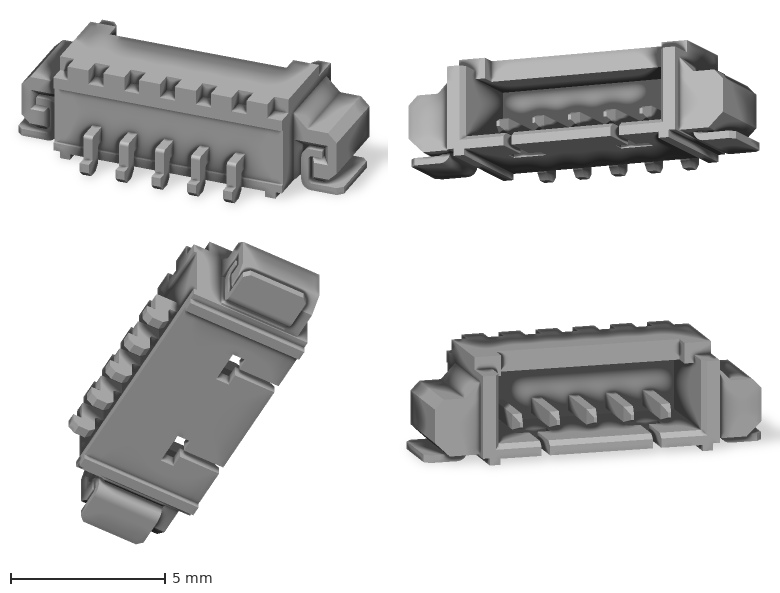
import cadquery as cq


HALF_LENGTH = 5.7
HEIGHT = 3.4
PITCH = 1.25
PIN_COUNT = 5

BODY_HALF = 4.0
BODY_DEPTH = 4.2
BODY_BOTTOM = 0.2
END_BOTTOM = 0.24
RIB_INNER = 3.42
RIB_OUTER = 3.77
FRONT_RECESS = 0.11
RECESS_BOTTOM = 0.51
RECESS_TOP = 2.51
NOTCH_WIDTH = 0.52
NOTCH_DEPTH = 0.58
NOTCH_HEIGHT = 0.5
REAR_STEP_Y = 3.19
REAR_STEP_Z = 2.99
ROOF_CUT_HALF = 3.1
ROOF_CUT_Y = 2.61

CAVITY_HALF = 3.42
CAVITY_FRONT = 0.91
FLOOR_TOP = 0.66
ROOF_UNDERSIDE = 2.71
MOUTH_INSET = 0.15
MOUTH_DEPTH = 0.2
SLOT_X = 1.5 * PITCH
SLOT_WIDTH = 0.28
SLOT_HEAD_WIDTH = 1.14
SLOT_HEAD_FRONT = 2.28
SLOT_HEAD_BACK = 2.75

PIN_WIDTH = 0.32
PIN_TOP = 1.37
PIN_BOTTOM = 0.85
PIN_TAPER_START = 3.0
PIN_TIP_Y = 3.5
PIN_TIP_WIDTH = 0.1
PIN_TIP_DROP = 0.17
PIN_LEG_FRONT = -0.68
PIN_LEG_BACK = -0.2
PIN_TOE_Y = -1.0
PIN_TOE_TOP = 0.51
PIN_TOE_CHAMFER = 0.2
PIN_BEND = 0.11

WING_FRONT = 0.99
WING_BACK = 3.81
WING_OUTER = 5.52
WING_BOTTOM = 0.3
WING_TOP = 2.2
WING_ROOT_TOP = 2.7
WING_CHAMFER = 0.31
WING_SLOPE_X = 4.49
WING_UNDERCUT_X = 5.02
WING_UNDERCUT_Z = 0.78

CHANNEL_BEVEL = 0.2
SLOT_BEVEL = 0.17
LIP_CHAMFER = 0.16
CHANNEL_INNER = 4.24
CHANNEL_SLOT = 4.56
CHANNEL_OUTER = 5.0
CHANNEL_TOP = 1.53
CHANNEL_LEDGE = 1.23

CLIP_BACK = 3.31
CLIP_SHEET = 0.25
CLIP_BAND_X = 4.28
CLIP_TOP = 1.49
CLIP_BEND_OUTER = 0.34
CLIP_BEND_INNER = 0.14
CLIP_FOOT_CHAMFER = 0.18


def box(x0, x1, y0, y1, z0, z1):
    """Axis-aligned block between two corners."""
    return cq.Workplane("XY").box(x1 - x0, y1 - y0, z1 - z0, centered=False).translate((x0, y0, z0))


def prism_along_y(points, y0, y1):
    """Outline of (x, z) points extruded from y0 to y1."""
    return cq.Workplane("XZ", origin=(0, y0, 0)).polyline(points).close().extrude(y0 - y1)


def mirrored_pair(shape):
    """The shape together with its mirror image across X = 0."""
    return shape.union(shape.mirror("YZ"))


def pin_positions():
    return [(i - (PIN_COUNT - 1) / 2) * PITCH for i in range(PIN_COUNT)]


def make_housing():
    body = box(-BODY_HALF, BODY_HALF, 0, BODY_DEPTH, END_BOTTOM, HEIGHT)
    body = body.union(box(-RIB_INNER, RIB_INNER, 0, BODY_DEPTH, BODY_BOTTOM, HEIGHT))
    body = body.union(mirrored_pair(box(RIB_INNER, RIB_OUTER, 0, BODY_DEPTH, 0, HEIGHT)))

    body = body.cut(box(-BODY_HALF, BODY_HALF, 0, FRONT_RECESS, RECESS_BOTTOM, RECESS_TOP))
    body = body.cut(box(-BODY_HALF, BODY_HALF, REAR_STEP_Y, BODY_DEPTH, REAR_STEP_Z, HEIGHT))
    body = body.cut(box(-ROOF_CUT_HALF, ROOF_CUT_HALF, ROOF_CUT_Y, BODY_DEPTH, ROOF_UNDERSIDE, HEIGHT))

    outer_notch = pin_positions()[-1] + PITCH
    for x in pin_positions() + [-outer_notch, outer_notch]:
        left = x - NOTCH_WIDTH / 2
        body = body.cut(box(left, left + NOTCH_WIDTH, 0, NOTCH_DEPTH, HEIGHT - NOTCH_HEIGHT, HEIGHT))
    return body.cut(make_cavity()).cut(make_floor_slots())


def make_cavity():
    cavity = box(-CAVITY_HALF, CAVITY_HALF, CAVITY_FRONT, BODY_DEPTH, FLOOR_TOP, ROOF_UNDERSIDE)
    open_back = box(-CAVITY_HALF, CAVITY_HALF, REAR_STEP_Y, BODY_DEPTH, FLOOR_TOP, HEIGHT)

    flare_height = HEIGHT - FLOOR_TOP
    flare = (
        cq.Workplane("XZ", origin=(0, BODY_DEPTH - MOUTH_DEPTH, FLOOR_TOP + flare_height / 2))
        .rect(2 * CAVITY_HALF, flare_height)
        .workplane(offset=-MOUTH_DEPTH)
        .rect(2 * (CAVITY_HALF + MOUTH_INSET), flare_height + 2 * MOUTH_INSET)
        .loft(ruled=True)
    )
    return cavity.union(open_back).union(flare)


def make_floor_slots():
    """T-shaped openings through the cavity floor."""
    stem = box(
        SLOT_X - SLOT_WIDTH / 2, SLOT_X + SLOT_WIDTH / 2, SLOT_HEAD_FRONT, BODY_DEPTH, 0, FLOOR_TOP
    )
    head = box(
        SLOT_X - SLOT_HEAD_WIDTH / 2, SLOT_X + SLOT_HEAD_WIDTH / 2,
        SLOT_HEAD_FRONT, SLOT_HEAD_BACK, 0, FLOOR_TOP,
    )
    return mirrored_pair(stem.union(head))


def make_pin(x):
    side = (
        cq.Workplane("YZ", origin=(-PIN_WIDTH / 2, 0, 0))
        .moveTo(PIN_TIP_Y, PIN_TOP - PIN_TIP_DROP)
        .lineTo(PIN_TAPER_START, PIN_TOP)
        .lineTo(PIN_LEG_FRONT + PIN_BEND, PIN_TOP)
        .radiusArc((PIN_LEG_FRONT, PIN_TOP - PIN_BEND), -PIN_BEND)
        .lineTo(PIN_LEG_FRONT, PIN_TOE_TOP)
        .lineTo(PIN_TOE_Y, PIN_TOE_TOP)
        .lineTo(PIN_TOE_Y, PIN_TOE_CHAMFER)
        .lineTo(PIN_TOE_Y + PIN_TOE_CHAMFER, 0)
        .lineTo(PIN_LEG_BACK - PIN_TOE_CHAMFER, 0)
        .lineTo(PIN_LEG_BACK, PIN_TOE_CHAMFER)
        .lineTo(PIN_LEG_BACK, PIN_BOTTOM - PIN_BEND)
        .radiusArc((PIN_LEG_BACK + PIN_BEND, PIN_BOTTOM), PIN_BEND)
        .lineTo(PIN_TAPER_START, PIN_BOTTOM)
        .lineTo(PIN_TIP_Y, PIN_BOTTOM + PIN_TIP_DROP)
        .close()
        .extrude(PIN_WIDTH)
    )
    half_width = PIN_WIDTH / 2
    half_tip = PIN_TIP_WIDTH / 2
    plan = (
        cq.Workplane("XY")
        .polyline([
            (-half_width, PIN_TOE_Y),
            (half_width, PIN_TOE_Y),
            (half_width, PIN_TAPER_START),
            (half_tip, PIN_TIP_Y),
            (-half_tip, PIN_TIP_Y),
            (-half_width, PIN_TAPER_START),
        ])
        .close()
        .extrude(PIN_TOP)
    )
    return side.intersect(plan).translate((x, 0, 0))


def make_wing():
    """Wing on the +X end, with the channel for the solder clip."""
    wing = prism_along_y(
        [
            (BODY_HALF, WING_BOTTOM),
            (BODY_HALF, WING_ROOT_TOP),
            (WING_SLOPE_X, WING_TOP),
            (WING_OUTER - WING_CHAMFER, WING_TOP),
            (WING_OUTER, WING_TOP - WING_CHAMFER),
            (WING_OUTER, WING_UNDERCUT_Z),
            (WING_UNDERCUT_X, WING_BOTTOM),
        ],
        WING_FRONT,
        WING_BACK,
    )

    lower_bevel = (
        cq.Workplane("YZ", origin=(CHANNEL_SLOT, WING_FRONT, WING_BOTTOM))
        .polyline([(0, 0), (CHANNEL_BEVEL, 0), (0, CHANNEL_BEVEL)])
        .close()
        .extrude(WING_OUTER - CHANNEL_SLOT)
    )
    channel = prism_along_y(channel_outline(), WING_FRONT, CLIP_BACK)
    front_bevel = (
        cq.Workplane("XZ", origin=(0, WING_FRONT, 0))
        .polyline(channel_outline(CHANNEL_BEVEL, SLOT_BEVEL))
        .close()
        .workplane(offset=-CHANNEL_BEVEL)
        .polyline(channel_outline())
        .close()
        .loft(ruled=True)
    )

    bevel_top = WING_BOTTOM + SLOT_BEVEL
    underside_bevel = prism_along_y(
        [
            (CHANNEL_INNER, bevel_top),
            (CHANNEL_SLOT, bevel_top),
            (CHANNEL_SLOT + SLOT_BEVEL, WING_BOTTOM),
            (CHANNEL_INNER - SLOT_BEVEL, WING_BOTTOM),
        ],
        WING_FRONT,
        CLIP_BACK,
    )

    lip_corner = prism_along_y(
        [
            (CHANNEL_SLOT, CHANNEL_LEDGE),
            (CHANNEL_SLOT + LIP_CHAMFER, CHANNEL_LEDGE),
            (CHANNEL_SLOT, CHANNEL_LEDGE - LIP_CHAMFER),
        ],
        WING_FRONT,
        CLIP_BACK,
    )
    for cutter in (lower_bevel, channel, front_bevel, underside_bevel, lip_corner):
        wing = wing.cut(cutter)
    return wing


def channel_outline(offset=0, lip_offset=0):
    """Hook-shaped channel section, grown by the offsets (lip_offset on the lip side of the slot)."""
    return [
        (CHANNEL_INNER - offset, 0),
        (CHANNEL_INNER - offset, CHANNEL_TOP + offset),
        (CHANNEL_OUTER + offset, CHANNEL_TOP + offset),
        (CHANNEL_OUTER + offset, CHANNEL_LEDGE - offset),
        (CHANNEL_SLOT + lip_offset, CHANNEL_LEDGE - offset),
        (CHANNEL_SLOT + lip_offset, 0),
    ]


def make_clip():
    """Bent sheet clip: a top leg in the channel, an upright band and a flat foot."""
    outer_x = CLIP_BAND_X + CLIP_SHEET
    leg_bottom = CLIP_TOP - CLIP_SHEET
    clip = (
        cq.Workplane("XZ", origin=(0, WING_FRONT, 0))
        .moveTo(HALF_LENGTH, 0)
        .lineTo(CLIP_BAND_X + CLIP_BEND_OUTER, 0)
        .radiusArc((CLIP_BAND_X, CLIP_BEND_OUTER), CLIP_BEND_OUTER)
        .lineTo(CLIP_BAND_X, CLIP_TOP - CLIP_BEND_OUTER)
        .radiusArc((CLIP_BAND_X + CLIP_BEND_OUTER, CLIP_TOP), CLIP_BEND_OUTER)
        .lineTo(CHANNEL_OUTER, CLIP_TOP)
        .lineTo(CHANNEL_OUTER, leg_bottom)
        .lineTo(outer_x + CLIP_BEND_INNER, leg_bottom)
        .radiusArc((outer_x, leg_bottom - CLIP_BEND_INNER), -CLIP_BEND_INNER)
        .lineTo(outer_x, CLIP_SHEET + CLIP_BEND_INNER)
        .radiusArc((outer_x + CLIP_BEND_INNER, CLIP_SHEET), -CLIP_BEND_INNER)
        .lineTo(HALF_LENGTH, CLIP_SHEET)
        .close()
        .extrude(WING_FRONT - CLIP_BACK)
    )
    return clip.edges("|Z and >X").chamfer(CLIP_FOOT_CHAMFER)


result = make_housing()
for pin_x in pin_positions():
    result = result.union(make_pin(pin_x))
result = result.union(mirrored_pair(make_wing().union(make_clip())))